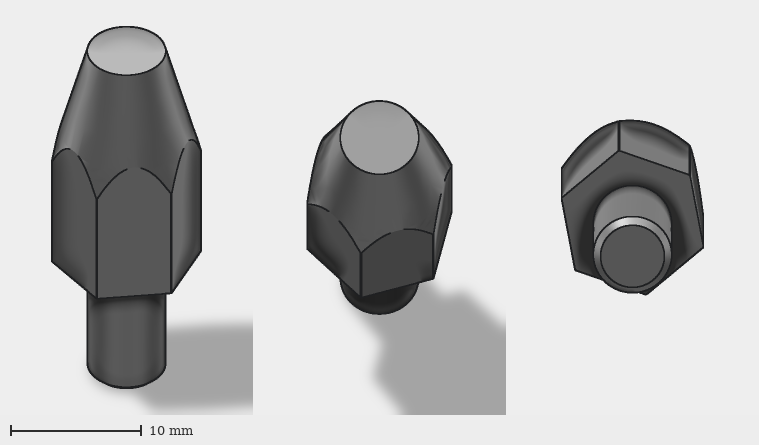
import cadquery as cq
import math

total_length = 31.0
body_length = 20.0
across_flats = 10.0
corner_diameter = 11.5
tip_diameter = 6.0
taper_angle = 15.0
stud_diameter = 6.0
end_chamfer = 0.55
shoulder_chamfer = 0.3

stud_length = total_length - body_length
stud_radius = stud_diameter / 2
tip_radius = tip_diameter / 2
corner_radius = corner_diameter / 2
across_corners = across_flats / math.cos(math.radians(30))
taper_length = (corner_radius - tip_radius) / math.tan(math.radians(taper_angle))


def hexagon_body():
    """Hexagonal bar with corners on the X axis, standing on the stud."""
    return (
        cq.Workplane("XY")
        .workplane(offset=stud_length)
        .polygon(6, across_corners)
        .extrude(body_length)
    )


def turned_envelope():
    """Cylinder with a tapered tip that trims the hexagon."""
    return (
        cq.Workplane("XZ")
        .moveTo(0, stud_length)
        .lineTo(corner_radius, stud_length)
        .lineTo(corner_radius, total_length - taper_length)
        .lineTo(tip_radius, total_length)
        .lineTo(0, total_length)
        .close()
        .revolve(360, (0, 0, 0), (0, 1, 0))
    )


def stud():
    """Round stud below the hexagon, bevelled at both ends."""
    return (
        cq.Workplane("XY")
        .circle(stud_radius)
        .extrude(stud_length)
        .faces("<Z")
        .chamfer(end_chamfer)
        .faces(">Z")
        .chamfer(shoulder_chamfer)
    )


result = hexagon_body().intersect(turned_envelope()).union(stud())